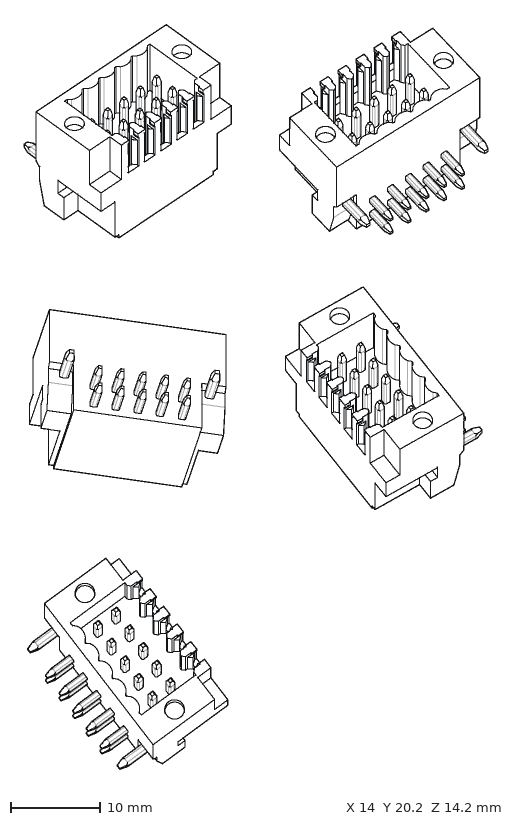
import cadquery as cq

HOUSING_LENGTH = 10.5
HOUSING_WIDTH = 20.25
HOUSING_HEIGHT = 14.2
CORE_WIDTH = 14.69

EAR_BOTTOM = 0.49
EAR_RECESS = 0.55
EAR_RECESS_TOP = 6.55
EAR_TAPER_TOP = 3.97
EAR_FOOT_BACK = 1.32
EAR_FOOT_FRONT = 4.5
EAR_NOTCH_X = 3.53
EAR_ARM_BOTTOM = 6.0

PAD_WIDTH = 15.88

CORNER_STEP_X = 8.63
CORNER_STEP_Z = 8.87
CORNER_STEP_WIDTH = 3.16

HOLE_DIAMETER = 2.2
HOLE_DEPTH = 1.22
HOLE_X = 4.35
EAR_FEATURE_Y = 8.35

PITCH = 2.53
CONTACT_ROWS = 5
FIRST_COLUMN_X = 3.7
FIRST_COLUMN_Z = 1.25
CONTACT_COLUMN_X = (FIRST_COLUMN_X, FIRST_COLUMN_X + PITCH)
CONTACT_COLUMN_Z = (FIRST_COLUMN_Z, FIRST_COLUMN_Z + PITCH)
ROW_Y = [(row - (CONTACT_ROWS - 1) / 2) * PITCH for row in range(CONTACT_ROWS)]

CAVITY_BACK = 1.0
CAVITY_FRONT = CORNER_STEP_X
CAVITY_WIDTH = 13.23
CAVITY_FLOOR = 7.0
WALL_CHAMFER = 0.35
BUMP_HEIGHT = 0.57
SLOT_HALF_WIDTH = 0.81
SLOT_LIP_HALF_WIDTH = 0.69
SLOT_LIP_HEIGHT = 0.63
SILL_X = 9.75
SILL_TOP = 9.15

RIDGE_HALF_BASE = 0.5
RIDGE_PROJECTION = 0.38
RIDGE_TOP = 12.99

PIN_WIDTH = 0.85
PIN_EDGE_RADIUS = PIN_WIDTH / 4
PIN_TIP_WIDTH = 0.38
PIN_TIP_LENGTH = 1.07
PIN_REACH = 3.5
PIN_TOP = 12.07
LATCH_PIN_WIDTH = 1.05
LATCH_PIN_EDGE_RADIUS = 0.28
LATCH_PIN_TIP_WIDTH = 0.49
LATCH_PIN_Z = 5.47

PIN_ROOT = 0.4


def box(x_range, y_range, z_range):
    """Axis-aligned box between the given limits."""
    size = [high - low for low, high in (x_range, y_range, z_range)]
    corner = (x_range[0], y_range[0], z_range[0])
    return cq.Workplane("XY").box(*size, centered=False).translate(corner)


def make_block():
    """Core and eared side profile joined into the outer block."""
    profile = [
        (0, HOUSING_HEIGHT),
        (0, EAR_RECESS_TOP),
        (EAR_RECESS, EAR_RECESS_TOP - EAR_RECESS),
        (EAR_RECESS, EAR_TAPER_TOP),
        (EAR_FOOT_BACK, EAR_BOTTOM),
        (EAR_FOOT_FRONT, EAR_BOTTOM),
        (EAR_FOOT_FRONT, EAR_TAPER_TOP),
        (EAR_NOTCH_X, EAR_TAPER_TOP),
        (EAR_NOTCH_X, EAR_ARM_BOTTOM),
        (HOUSING_LENGTH, EAR_ARM_BOTTOM),
        (HOUSING_LENGTH, HOUSING_HEIGHT),
    ]
    ears = cq.Workplane("XZ").polyline(profile).close().extrude(HOUSING_WIDTH / 2, both=True)
    core_side = CORE_WIDTH / 2
    core = box((0, HOUSING_LENGTH), (-core_side, core_side), (0, HOUSING_HEIGHT))
    pad_side = PAD_WIDTH / 2
    pads = box((EAR_NOTCH_X, HOUSING_LENGTH), (-pad_side, pad_side), (EAR_BOTTOM, EAR_ARM_BOTTOM))
    block = ears.union(core).union(pads)

    outer = HOUSING_WIDTH / 2
    inner = outer - CORNER_STEP_WIDTH
    for y_range in ((-outer, -inner), (inner, outer)):
        step = box((CORNER_STEP_X, HOUSING_LENGTH), y_range, (CORNER_STEP_Z, HOUSING_HEIGHT))
        block = block.cut(step)
    return block


def make_round_holes():
    """Blind holes sunk into the top face of each ear."""
    centers = [(HOLE_X, -EAR_FEATURE_Y), (HOLE_X, EAR_FEATURE_Y)]
    top = cq.Workplane("XY").workplane(offset=HOUSING_HEIGHT)
    return top.pushPoints(centers).circle(HOLE_DIAMETER / 2).extrude(-HOLE_DEPTH)


def make_bump(y):
    """Rounded bump with flared sides, standing on the rear cavity wall."""
    flare_x = CAVITY_BACK + WALL_CHAMFER
    flare_y = SLOT_HALF_WIDTH + WALL_CHAMFER
    return (
        cq.Workplane("XY", origin=(0, y, CAVITY_FLOOR))
        .moveTo(CAVITY_BACK, -flare_y)
        .lineTo(flare_x, -SLOT_HALF_WIDTH)
        .threePointArc((CAVITY_BACK + BUMP_HEIGHT, 0), (flare_x, SLOT_HALF_WIDTH))
        .lineTo(CAVITY_BACK, flare_y)
        .close()
        .extrude(HOUSING_HEIGHT - CAVITY_FLOOR)
    )


def make_slot(y):
    """Void of one front wall slot: flared entry, sill and narrow upper lip."""
    flare_x = CAVITY_FRONT + WALL_CHAMFER
    flare_y = SLOT_HALF_WIDTH + WALL_CHAMFER
    entry = [
        (CAVITY_FRONT, -flare_y),
        (flare_x, -SLOT_HALF_WIDTH),
        (SILL_X, -SLOT_HALF_WIDTH),
        (SILL_X, SLOT_HALF_WIDTH),
        (flare_x, SLOT_HALF_WIDTH),
        (CAVITY_FRONT, flare_y),
    ]
    slot = (
        cq.Workplane("XY", origin=(0, y, CAVITY_FLOOR))
        .polyline(entry)
        .close()
        .extrude(HOUSING_HEIGHT - CAVITY_FLOOR)
    )
    lip_bottom = HOUSING_HEIGHT - SLOT_LIP_HEIGHT
    for half_width, z_range in (
        (SLOT_HALF_WIDTH, (SILL_TOP, lip_bottom)),
        (SLOT_LIP_HALF_WIDTH, (lip_bottom, HOUSING_HEIGHT)),
    ):
        slot = slot.union(box((SILL_X, HOUSING_LENGTH), (y - half_width, y + half_width), z_range))

    for side in (-1, 1):
        ridge_section = [
            (SILL_X - RIDGE_HALF_BASE, side * SLOT_HALF_WIDTH),
            (SILL_X, side * (SLOT_HALF_WIDTH - RIDGE_PROJECTION)),
            (SILL_X + RIDGE_HALF_BASE, side * SLOT_HALF_WIDTH),
        ]
        ridge = (
            cq.Workplane("XY", origin=(0, y, CAVITY_FLOOR))
            .polyline(ridge_section)
            .close()
            .extrude(RIDGE_TOP - CAVITY_FLOOR)
        )
        slot = slot.cut(ridge)
    return slot


def make_cavity():
    """Complete void of the mating cavity, open at the top."""
    half_width = CAVITY_WIDTH / 2
    cavity = box((CAVITY_BACK, CAVITY_FRONT), (-half_width, half_width), (CAVITY_FLOOR, HOUSING_HEIGHT))
    for y in ROW_Y:
        cavity = cavity.cut(make_bump(y)).union(make_slot(y))
    return cavity


def make_pin(width, edge_radius, tip_width, length):
    """Upright pin standing on the origin, tip pointing up."""
    shank = length - PIN_TIP_LENGTH
    blank = (
        cq.Workplane("XY")
        .rect(width, width)
        .extrude(shank)
        .faces(">Z")
        .workplane()
        .rect(width, width)
        .workplane(offset=PIN_TIP_LENGTH)
        .rect(tip_width, tip_width)
        .loft()
    )
    section = cq.Workplane("XY").rect(width, width).extrude(length).edges("|Z").fillet(edge_radius)
    return blank.intersect(section)


def lay_pin(pin, x, y, z):
    """Turn an upright pin towards -X and put its root at the given point."""
    return pin.rotate((0, 0, 0), (0, 1, 0), -90).translate((x, y, z))


def make_pins():
    """All mating pins, solder pins and the two latch pins as a list."""
    mating = make_pin(PIN_WIDTH, PIN_EDGE_RADIUS, PIN_TIP_WIDTH, PIN_TOP - CAVITY_FLOOR + PIN_ROOT)
    solder = make_pin(PIN_WIDTH, PIN_EDGE_RADIUS, PIN_TIP_WIDTH, PIN_REACH + PIN_ROOT)
    latch_root = EAR_RECESS + PIN_ROOT
    latch = make_pin(LATCH_PIN_WIDTH, LATCH_PIN_EDGE_RADIUS, LATCH_PIN_TIP_WIDTH, PIN_REACH + latch_root)

    pins = []
    for y in ROW_Y:
        pins += [mating.translate((x, y, CAVITY_FLOOR - PIN_ROOT)) for x in CONTACT_COLUMN_X]
        pins += [lay_pin(solder, PIN_ROOT, y, z) for z in CONTACT_COLUMN_Z]
    pins += [lay_pin(latch, latch_root, y, LATCH_PIN_Z) for y in (-EAR_FEATURE_Y, EAR_FEATURE_Y)]
    return pins


result = make_block().cut(make_round_holes()).cut(make_cavity())
for pin in make_pins():
    result = result.union(pin)